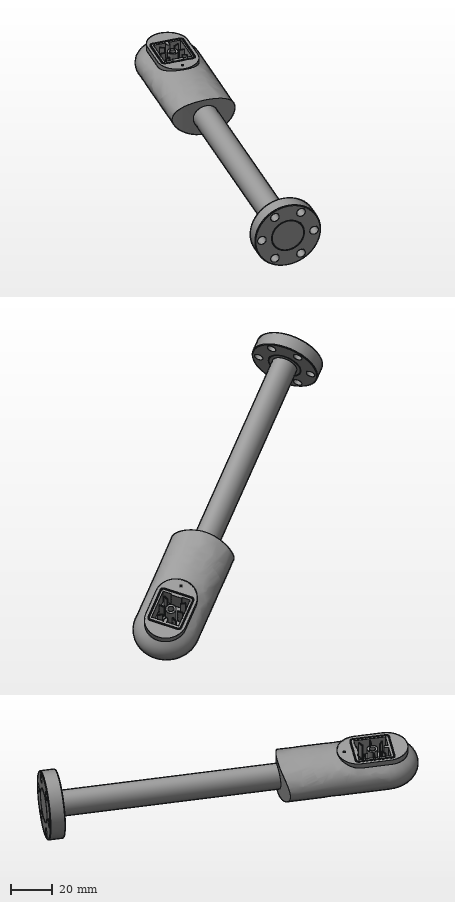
import cadquery as cq


OVERALL_LENGTH = 184.7
CUT_MARGIN = 1.8

HEAD_HALF_WIDTH = 16.3
HEAD_HALF_HEIGHT = 9.8
HEAD_LENGTH = 69.3
END_BULGE = 3.3
END_CORNER_X = HEAD_LENGTH - END_BULGE

PAD_CENTER_X = 22.3
PAD_LENGTH = 34.7
PAD_WIDTH = 20.7
PAD_TOP_Z = 10.3
INDICATOR_X = 36.2
INDICATOR_DIAMETER = 1.1
INDICATOR_DEPTH = 1.0

FRAME_LENGTH = 19.5
FRAME_WIDTH = 17.4
FRAME_CORNER_RADIUS = 1.7
FRAME_GROOVE_WIDTH = 0.5
FRAME_GROOVE_DEPTH = 0.5
SOCKET_LENGTH = 15.7
SOCKET_WIDTH = 14.0
SOCKET_DEPTH = 9.2
SOCKET_FLOOR_Z = PAD_TOP_Z - SOCKET_DEPTH
SOCKET_NOSE_SIDE_X = PAD_CENTER_X - SOCKET_LENGTH / 2
SOCKET_TUBE_SIDE_X = PAD_CENTER_X + SOCKET_LENGTH / 2
KEY_LENGTH = 2.2
KEY_WIDTH = 1.7
WALL_RIB_WIDTH = 5.5
WALL_RIB_THICKNESS = 0.5
POST_DIAMETER = 5.2
POST_BORE_DIAMETER = 3.0
CONTACT_HEIGHT = 8.9
BLADE_THICKNESS = 0.5
BLADE_WIDTH = 2.5
MIDDLE_BLADE_Y = 4.8
OUTER_BLADE_X = 5.0
NOSE_BLADE_Y = 3.7
TUBE_BLADE_Y = 4.5
OUTER_BLADE_ANGLE = 60

TUBE_DIAMETER = 12.7
FLANGE_DIAMETER = 34.0
FLANGE_THICKNESS = 7.5
FLANGE_CHAMFER = 0.4
FLANGE_X = OVERALL_LENGTH - FLANGE_THICKNESS
BOLT_COUNT = 6
BOLT_CIRCLE_DIAMETER = 27.0
BOLT_HOLE_DIAMETER = 4.5
HUB_DIAMETER = 16.3
HUB_GAP = 0.4


def head_shell():
    """Barrel with an arched end in plan, closed by a nose revolved about Z."""
    barrel = (
        cq.Workplane("YZ", origin=(HEAD_HALF_WIDTH, 0, 0))
        .ellipse(HEAD_HALF_WIDTH, HEAD_HALF_HEIGHT)
        .extrude(HEAD_LENGTH - HEAD_HALF_WIDTH)
    )
    plan = (
        cq.Workplane("XY", origin=(0, 0, -HEAD_HALF_HEIGHT))
        .moveTo(0, -HEAD_HALF_WIDTH)
        .lineTo(END_CORNER_X, -HEAD_HALF_WIDTH)
        .threePointArc((HEAD_LENGTH, 0), (END_CORNER_X, HEAD_HALF_WIDTH))
        .lineTo(0, HEAD_HALF_WIDTH)
        .close()
        .extrude(2 * HEAD_HALF_HEIGHT)
    )
    nose = (
        cq.Workplane("YZ", origin=(HEAD_HALF_WIDTH, 0, 0))
        .moveTo(0, -HEAD_HALF_HEIGHT)
        .ellipseArc(HEAD_HALF_WIDTH, HEAD_HALF_HEIGHT, -90, 90, startAtCurrent=True)
        .close()
        .revolve(180, (0, 0), (0, 1))
    )
    return barrel.intersect(plan).union(nose)


def pad():
    return (
        cq.Workplane("XY")
        .center(PAD_CENTER_X, 0)
        .slot2D(PAD_LENGTH, PAD_WIDTH)
        .extrude(PAD_TOP_Z)
    )


def frame_groove():
    """Narrow groove that frames the socket."""
    outer = (
        cq.Workplane("XY", origin=(PAD_CENTER_X, 0, PAD_TOP_Z))
        .rect(FRAME_LENGTH, FRAME_WIDTH)
        .extrude(-FRAME_GROOVE_DEPTH)
        .edges("|Z")
        .fillet(FRAME_CORNER_RADIUS)
    )
    inner = (
        cq.Workplane("XY", origin=(PAD_CENTER_X, 0, PAD_TOP_Z))
        .rect(FRAME_LENGTH - 2 * FRAME_GROOVE_WIDTH, FRAME_WIDTH - 2 * FRAME_GROOVE_WIDTH)
        .extrude(-FRAME_GROOVE_DEPTH)
        .edges("|Z")
        .fillet(FRAME_CORNER_RADIUS - FRAME_GROOVE_WIDTH)
    )
    return outer.cut(inner)


def socket_cavity():
    """Rectangular pocket that leaves a shallow rib and a round-nosed key on its end walls."""
    pocket = (
        cq.Workplane("XY", origin=(PAD_CENTER_X, 0, PAD_TOP_Z))
        .rect(SOCKET_LENGTH, SOCKET_WIDTH)
        .extrude(-SOCKET_DEPTH)
    )
    wall_rib = (
        cq.Workplane("XY", origin=(SOCKET_TUBE_SIDE_X, 0, PAD_TOP_Z))
        .rect(2 * WALL_RIB_THICKNESS, WALL_RIB_WIDTH)
        .extrude(-SOCKET_DEPTH)
    )
    key = (
        cq.Workplane("XY", origin=(SOCKET_NOSE_SIDE_X, 0, PAD_TOP_Z))
        .slot2D(2 * KEY_LENGTH, KEY_WIDTH)
        .extrude(-SOCKET_DEPTH)
    )
    return pocket.cut(wall_rib).cut(key)


def socket_post():
    return (
        cq.Workplane("XY", origin=(PAD_CENTER_X, 0, SOCKET_FLOOR_Z))
        .circle(POST_DIAMETER / 2)
        .circle(POST_BORE_DIAMETER / 2)
        .extrude(CONTACT_HEIGHT)
    )


def contact_blade(x_offset, y_offset, angle):
    """Flat contact standing on the socket floor, placed from the post and turned about Z."""
    return (
        cq.Workplane("XY", origin=(PAD_CENTER_X + x_offset, y_offset, SOCKET_FLOOR_Z))
        .transformed(rotate=(0, 0, angle))
        .rect(BLADE_WIDTH, BLADE_THICKNESS)
        .extrude(CONTACT_HEIGHT)
    )


def add_contacts(head):
    """Three blades on each side of the socket, mirrored about y = 0."""
    for side in (1, -1):
        head = head.union(contact_blade(0, side * MIDDLE_BLADE_Y, 90))
        head = head.union(contact_blade(-OUTER_BLADE_X, side * NOSE_BLADE_Y, -side * OUTER_BLADE_ANGLE))
        head = head.union(contact_blade(OUTER_BLADE_X, side * TUBE_BLADE_Y, side * OUTER_BLADE_ANGLE))
    return head


def indicator_hole():
    return (
        cq.Workplane("XY", origin=(INDICATOR_X, 0, PAD_TOP_Z))
        .circle(INDICATOR_DIAMETER / 2)
        .extrude(-INDICATOR_DEPTH)
    )


def tube_seat():
    """Hole in the arched end that receives the end of the tube."""
    return (
        cq.Workplane("YZ", origin=(END_CORNER_X, 0, 0))
        .circle(TUBE_DIAMETER / 2)
        .extrude(END_BULGE + CUT_MARGIN)
    )


def make_head():
    head = (
        head_shell()
        .union(pad())
        .cut(frame_groove())
        .cut(socket_cavity())
        .union(socket_post())
    )
    return add_contacts(head).cut(indicator_hole()).cut(tube_seat())


def make_tube():
    """Tube with the hub that carries the flange."""
    tube = (
        cq.Workplane("YZ", origin=(END_CORNER_X, 0, 0))
        .circle(TUBE_DIAMETER / 2)
        .extrude(OVERALL_LENGTH - END_CORNER_X)
    )
    hub = (
        cq.Workplane("YZ", origin=(FLANGE_X, 0, 0))
        .circle(HUB_DIAMETER / 2)
        .extrude(FLANGE_THICKNESS)
    )
    return tube.union(hub)


def make_flange():
    """Bolt ring, free to turn around the hub with a narrow gap."""
    disc = (
        cq.Workplane("YZ", origin=(FLANGE_X, 0, 0))
        .circle(FLANGE_DIAMETER / 2)
        .extrude(FLANGE_THICKNESS)
        .faces("<X or >X")
        .chamfer(FLANGE_CHAMFER)
    )
    hub_bore = (
        cq.Workplane("YZ", origin=(FLANGE_X, 0, 0))
        .circle(HUB_DIAMETER / 2 + HUB_GAP)
        .extrude(FLANGE_THICKNESS)
    )
    bolt_holes = (
        cq.Workplane("YZ", origin=(FLANGE_X, 0, 0))
        .polarArray(BOLT_CIRCLE_DIAMETER / 2, 0, 360, BOLT_COUNT)
        .circle(BOLT_HOLE_DIAMETER / 2)
        .extrude(FLANGE_THICKNESS)
    )
    return disc.cut(hub_bore).cut(bolt_holes)


head = make_head()
tube = make_tube()
flange = make_flange()

result = cq.Compound.makeCompound([head.val(), tube.val(), flange.val()])